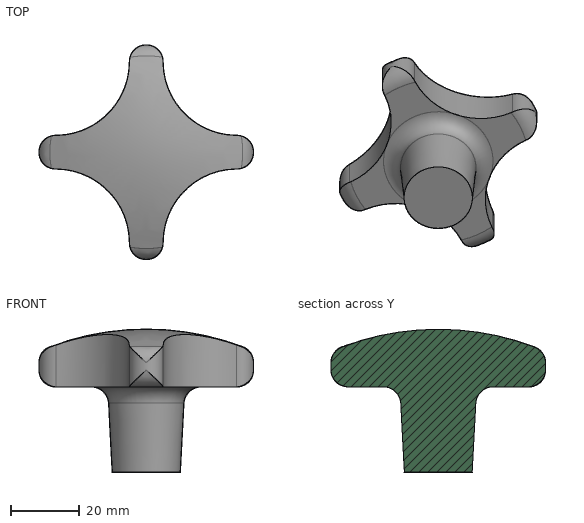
import cadquery as cq
import math

span = 63.0
height = 42.0
head_base = 25.0
arm_half_width = 5.0
dome_radius = 80.0
edge_radius = 5.0
stem_foot_radius = 10.0
stem_taper = math.radians(3)
neck_radius = 5.0

reach = span / 2
arm_end_center = reach - arm_half_width


def make_head():
    """Domed disc with rounded rim, as a solid of revolution."""
    rim_center = reach - edge_radius
    dome_center_z = height - dome_radius
    rim_center_z = dome_center_z + math.sqrt((dome_radius - edge_radius) ** 2 - rim_center**2)
    dome_tilt = math.asin(rim_center / (dome_radius - edge_radius))

    def on_dome(angle):
        return dome_radius * math.sin(angle), dome_center_z + dome_radius * math.cos(angle)

    def on_rim(angle, center_z):
        return rim_center + edge_radius * math.sin(angle), center_z + edge_radius * math.cos(angle)

    lower_center_z = head_base + edge_radius
    profile = (
        cq.Workplane("XZ")
        .moveTo(0, head_base)
        .lineTo(rim_center, head_base)
        .threePointArc(on_rim(math.radians(135), lower_center_z), (reach, lower_center_z))
        .lineTo(reach, rim_center_z)
        .threePointArc(on_rim((dome_tilt + math.pi / 2) / 2, rim_center_z), on_dome(dome_tilt))
        .threePointArc(on_dome(dome_tilt / 2), (0, height))
        .close()
    )
    return profile.revolve(360, (0, 0, 0), (0, 1, 0))


def make_cross():
    """Four round-ended arms joined by concave quarter circles."""
    valley_radius = arm_end_center - arm_half_width
    valley_offset = arm_end_center - valley_radius * math.sqrt(0.5)

    def turned(x, y, quarter):
        for _ in range(quarter):
            x, y = -y, x
        return x, y

    outline = cq.Workplane("XY").moveTo(arm_end_center, -arm_half_width)
    for quarter in range(4):
        outline = outline.threePointArc(
            turned(reach, 0, quarter), turned(arm_end_center, arm_half_width, quarter)
        ).threePointArc(
            turned(valley_offset, valley_offset, quarter),
            turned(arm_half_width, arm_end_center, quarter),
        )
    return outline.close().extrude(height)


def make_stem():
    """Tapered stem flaring tangentially into the underside of the head."""
    neck_center_z = head_base - neck_radius
    neck_start_z = neck_center_z + neck_radius * math.sin(stem_taper)
    neck_start_r = stem_foot_radius + neck_start_z * math.tan(stem_taper)
    neck_center_r = neck_start_r + neck_radius * math.cos(stem_taper)
    mid_angle = (stem_taper + math.pi / 2) / 2
    neck_middle = (
        neck_center_r - neck_radius * math.cos(mid_angle),
        neck_center_z + neck_radius * math.sin(mid_angle),
    )
    profile = (
        cq.Workplane("XZ")
        .lineTo(stem_foot_radius, 0)
        .lineTo(neck_start_r, neck_start_z)
        .threePointArc(neck_middle, (neck_center_r, head_base))
        .lineTo(0, head_base)
        .close()
    )
    return profile.revolve(360, (0, 0, 0), (0, 1, 0))


result = make_head().intersect(make_cross()).union(make_stem())